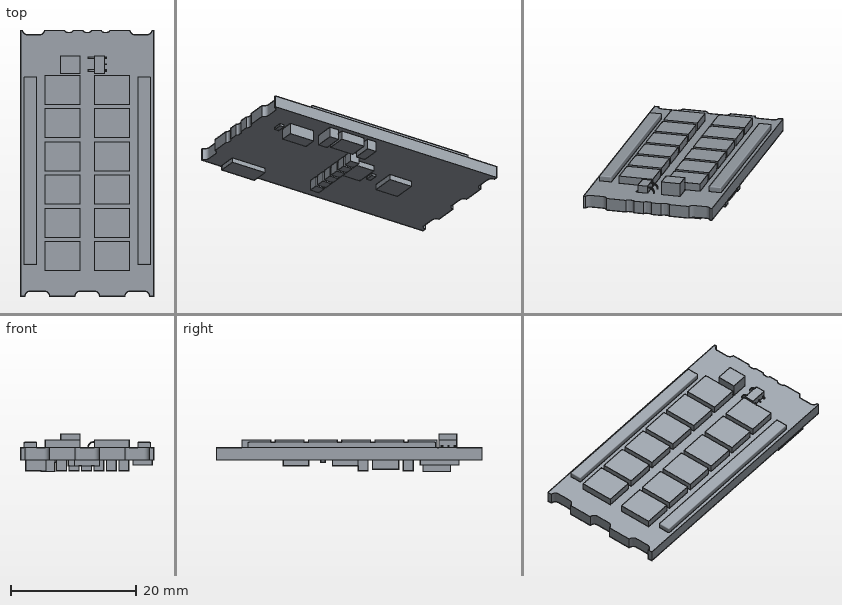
import cadquery as cq


BOARD_WIDTH = 21.3
BOARD_LENGTH = 42.4
BOARD_THICKNESS = 2.0

LARGE_CUTTER_RADIUS = 0.8
SMALL_CUTTER_RADIUS = 0.5
FRONT_NOTCH_DEPTH = LARGE_CUTTER_RADIUS
FRONT_NOTCH_LENGTH = 3.9
FRONT_NOTCH_PITCH = 7.95
REAR_CORNER_NOTCH_DEPTH = 0.68
REAR_CORNER_NOTCH_LENGTH = 3.5
REAR_CORNER_NOTCH_X = 8.55
REAR_SMALL_NOTCH_DEPTH = 0.3
REAR_SMALL_NOTCH_LENGTH = 1.45
REAR_SMALL_NOTCH_PITCH = 2.93

CHIP_WIDTH = 5.55
CHIP_LENGTH = 4.62
CHIP_HEIGHT = 1.25
CHIP_GAP = 2.3
CHIP_PITCH = 5.3
CHIP_ROWS = 6
FIRST_CHIP_Y = -14.8
CHIP_COLUMN_X = (CHIP_GAP + CHIP_WIDTH) / 2

STRIP_WIDTH = 2.05
STRIP_LENGTH = 29.95
STRIP_HEIGHT = 0.85
STRIP_X = 9.07
STRIP_Y = -1.2
STRIP_EDGE_RADIUS = 0.15

BLOCK_WIDTH = 3.1
UPPER_PART_LENGTH = 2.85
BLOCK_HEIGHT = 2.15
UPPER_PART_Y = 15.75
BLOCK_X = -(CHIP_GAP + BLOCK_WIDTH) / 2
PACKAGE_WIDTH = 1.6
PACKAGE_HEIGHT = 1.2
PACKAGE_LEFT = CHIP_GAP / 2
PACKAGE_RIGHT = PACKAGE_LEFT + PACKAGE_WIDTH

LEAD_THICKNESS = 0.1
LEAD_WIDTH = 0.3
MIDDLE_LEAD_WIDTH = 0.13
LEAD_CENTER_Y = 15.8
LEAD_OFFSET_Y = 1.0
ARCH_RADIUS = 0.95
ARCH_FOOT_X = 0.1
FLARE_RADIUS = 0.4
FLARE_SINK = LEAD_THICKNESS / 2

CUBE_SIZE = 1.6
CUBE_HEIGHT = 1.75
CUBE_PITCH = 2.0
CUBE_COUNT = 6
FIRST_CUBE_X = -4.1
SIDE_PART_WIDTH = 3.25
SIDE_PART_X = -8.2
NEAR_ROW_Y = 2.2
FAR_ROW_Y = 9.4
SIDE_CHIP_LENGTH = 4.25
SIDE_CHIP_HEIGHT = 1.5
SIDE_CHIP_Y = 5.8
TALL_PART_SIZE = (2.2, 4.45, 1.85)
TALL_PART_CENTER = (-6.28, 13.95)
FLAT_PART_SIZE = (3.1, 6.25, 0.8)
FLAT_PART_CENTER = (8.8, 14.4)
SQUARE_CHIP_SIZE = (4.03, 4.1, 0.95)
SQUARE_CHIP_CENTERS = ((-0.05, -8.5), (-1.0, -0.65))
TINY_PART_SIZE = (1.53, 0.75, 0.4)
TINY_PART_CENTERS = ((-5.65, 17.15), (0, -4.2))


def upper_box(width, length, height, x, y):
    """Box standing on the upper face of the board."""
    box = cq.Workplane("XY").box(width, length, height, centered=(True, True, False))
    return box.translate((x, y, 0))


def lower_box(width, length, height, x, y):
    """Box hanging from the lower face of the board."""
    return upper_box(width, length, height, x, y).translate((0, 0, -BOARD_THICKNESS - height))


def notch(x, edge_sign, depth, length, radius):
    """Round-ended cutter biting into the short edge at +Y (sign 1) or -Y (sign -1)."""
    y = edge_sign * (BOARD_LENGTH / 2 - depth + radius)
    slot = cq.Workplane("XY").center(x, y).slot2D(length, 2 * radius)
    return slot.extrude(-BOARD_THICKNESS)


def make_board():
    board = cq.Workplane("XY").rect(BOARD_WIDTH, BOARD_LENGTH).extrude(-BOARD_THICKNESS)
    for step in (-1, 0, 1):
        front_x = step * FRONT_NOTCH_PITCH
        board = board.cut(notch(front_x, -1, FRONT_NOTCH_DEPTH, FRONT_NOTCH_LENGTH, LARGE_CUTTER_RADIUS))
        rear_x = step * REAR_SMALL_NOTCH_PITCH
        board = board.cut(
            notch(rear_x, 1, REAR_SMALL_NOTCH_DEPTH, REAR_SMALL_NOTCH_LENGTH, SMALL_CUTTER_RADIUS)
        )
    for side in (-1, 1):
        corner_x = side * REAR_CORNER_NOTCH_X
        board = board.cut(
            notch(corner_x, 1, REAR_CORNER_NOTCH_DEPTH, REAR_CORNER_NOTCH_LENGTH, LARGE_CUTTER_RADIUS)
        )
    return board


def make_strip(x):
    strip = upper_box(STRIP_WIDTH, STRIP_LENGTH, STRIP_HEIGHT, x, STRIP_Y)
    return strip.edges("|Z or >Z").fillet(STRIP_EDGE_RADIUS)


def quarter_band(center_x, center_z, outer_radius, width, y, side):
    """Thin quarter ring upright in XZ, left of its center and above (side 1) or below (side -1) it."""
    ring = cq.Workplane("XZ").circle(outer_radius).circle(outer_radius - LEAD_THICKNESS)
    band = ring.extrude(width / 2, both=True)
    quadrant = cq.Workplane("XY").box(outer_radius, width, outer_radius)
    quadrant = quadrant.translate((-outer_radius / 2, 0, side * outer_radius / 2))
    return band.intersect(quadrant).translate((center_x, y, center_z))


def make_leads():
    leads = []
    arch_center_x = ARCH_FOOT_X + ARCH_RADIUS
    flat_length = PACKAGE_LEFT - arch_center_x
    flat_x = arch_center_x + flat_length / 2
    flat_z = ARCH_RADIUS - LEAD_THICKNESS
    for offset in (-LEAD_OFFSET_Y, LEAD_OFFSET_Y):
        y = LEAD_CENTER_Y + offset
        leads.append(quarter_band(arch_center_x, 0, ARCH_RADIUS, LEAD_WIDTH, y, 1))
        flat = upper_box(flat_length, LEAD_WIDTH, LEAD_THICKNESS, flat_x, y)
        leads.append(flat.translate((0, 0, flat_z)))

    flare_center_x = PACKAGE_RIGHT + FLARE_RADIUS - FLARE_SINK
    flare_center_z = FLARE_RADIUS - FLARE_SINK
    flare_widths = {-LEAD_OFFSET_Y: LEAD_WIDTH, 0: MIDDLE_LEAD_WIDTH, LEAD_OFFSET_Y: LEAD_WIDTH}
    for offset, width in flare_widths.items():
        y = LEAD_CENTER_Y + offset
        leads.append(quarter_band(flare_center_x, flare_center_z, FLARE_RADIUS, width, y, -1))
    return leads


def make_upper_parts():
    parts = []
    for side in (-1, 1):
        parts.append(make_strip(side * STRIP_X))
        for row in range(CHIP_ROWS):
            y = FIRST_CHIP_Y + row * CHIP_PITCH
            parts.append(upper_box(CHIP_WIDTH, CHIP_LENGTH, CHIP_HEIGHT, side * CHIP_COLUMN_X, y))
    parts.append(upper_box(BLOCK_WIDTH, UPPER_PART_LENGTH, BLOCK_HEIGHT, BLOCK_X, UPPER_PART_Y))
    package_x = (PACKAGE_LEFT + PACKAGE_RIGHT) / 2
    parts.append(upper_box(PACKAGE_WIDTH, UPPER_PART_LENGTH, PACKAGE_HEIGHT, package_x, UPPER_PART_Y))
    return parts + make_leads()


def make_lower_parts():
    parts = []
    for index in range(CUBE_COUNT):
        x = FIRST_CUBE_X + index * CUBE_PITCH
        parts.append(lower_box(CUBE_SIZE, CUBE_SIZE, CUBE_HEIGHT, x, NEAR_ROW_Y))
    for y in (NEAR_ROW_Y, FAR_ROW_Y):
        parts.append(lower_box(SIDE_PART_WIDTH, CUBE_SIZE, CUBE_HEIGHT, SIDE_PART_X, y))
    parts.append(lower_box(SIDE_PART_WIDTH, SIDE_CHIP_LENGTH, SIDE_CHIP_HEIGHT, SIDE_PART_X, SIDE_CHIP_Y))
    parts.append(lower_box(*TALL_PART_SIZE, *TALL_PART_CENTER))
    parts.append(lower_box(*FLAT_PART_SIZE, *FLAT_PART_CENTER))
    for center in SQUARE_CHIP_CENTERS:
        parts.append(lower_box(*SQUARE_CHIP_SIZE, *center))
    for center in TINY_PART_CENTERS:
        parts.append(lower_box(*TINY_PART_SIZE, *center))
    return parts


result = make_board()
for part in make_upper_parts() + make_lower_parts():
    result = result.union(part)